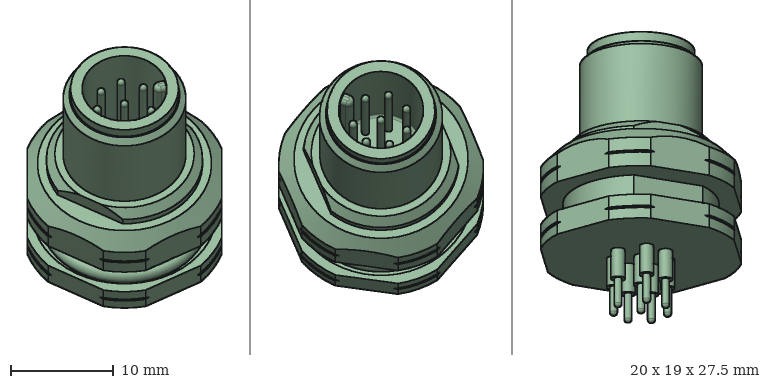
import cadquery as cq
import math


across_flats = 19.0
corner_radius = 20.0 / 2
flange_height = 2.5
nut_bottom = 5.5
nut_top = 10.0
nut_chamfer = 1.5
mark_depth = 0.1
mark_half_width = 0.1
flange_mark_z = 1.2
nut_mark_z = 7.05

ring_tube = 0.75
ring_path_radius = 7.62
ring_top = 2.83
ring_z = ring_top - ring_tube
groove_radius = 9.0

body_radius = 7.62
body_across_flats = 13.36
body_top = 11.5
body_chamfer = 0.82
sleeve_radius = 6.0
sleeve_chamfer_height = 0.55
sleeve_chamfer_width = 0.6
rim_radius = 5.25
rim_height = 1.02
overall_height = 27.5
connector_top = 21.5
rim_bottom = connector_top - rim_height

cavity_radius = 4.12
cavity_floor = body_top
cavity_fillet = 0.28

key_radius = 0.6
key_angle = 45
key_path_radius = 3.55
key_top = connector_top - 0.55
key_fillet = 0.45

pin_radius = 0.38
pin_top = connector_top - 2.0
solder_sleeve_radius = 0.7
solder_sleeve_length = 3.0
pin_bottom = connector_top - overall_height
pin_circle_radius = 2.75
pin_count = 7
pin_pitch = 49
first_pin_angle = key_angle + (360 - (pin_count - 1) * pin_pitch) / 2


def cylinder(radius, bottom, top):
    return cq.Workplane("XY").workplane(offset=bottom).circle(radius).extrude(top - bottom)


def revolved(points):
    """Turn a closed (radius, Z) outline round the Z axis."""
    return cq.Workplane("XZ").polyline(points).close().revolve(360, (0, 0, 0), (0, 1, 0))


def hexagon(bottom, top, top_chamfer, mark_z):
    """Hexagon with flats facing +-Y, turned corners and a V-groove round the corners."""
    prism = (
        cq.Workplane("XY").workplane(offset=bottom)
        .polygon(6, across_flats / math.cos(math.pi / 6)).extrude(top - bottom)
    )
    side = [
        (0, bottom),
        (corner_radius, bottom),
        (corner_radius, mark_z - mark_half_width),
        (corner_radius - mark_depth, mark_z),
        (corner_radius, mark_z + mark_half_width),
    ]
    if top_chamfer > 0:
        side.append((corner_radius, top - top_chamfer))
    side += [(corner_radius - top_chamfer, top), (0, top)]
    turned = revolved(side)
    return prism.intersect(turned)


def flange():
    groove = cylinder(groove_radius, ring_z - ring_tube, flange_height)
    return hexagon(0, flange_height, 0, flange_mark_z).cut(groove)


def nut():
    return hexagon(nut_bottom, nut_top, nut_chamfer, nut_mark_z)


def sealing_ring():
    return (
        cq.Workplane("XZ").center(ring_path_radius, ring_z).circle(ring_tube)
        .revolve(360, (-ring_path_radius, 0, 0), (-ring_path_radius, 1, 0))
    )


def body():
    foot = cylinder(body_radius, 0, ring_z)
    upper = cylinder(body_radius, ring_z, body_top).faces(">Z").chamfer(body_chamfer)
    flats = (
        cq.Workplane("XY").workplane(offset=ring_z)
        .rect(2 * body_radius, body_across_flats).extrude(body_top - ring_z)
    )
    return foot.union(upper.intersect(flats))


def sleeve():
    barrel = revolved([
        (0, 0),
        (sleeve_radius, 0),
        (sleeve_radius, rim_bottom - sleeve_chamfer_height),
        (sleeve_radius - sleeve_chamfer_width, rim_bottom),
        (0, rim_bottom),
    ])
    return barrel.union(cylinder(rim_radius, 0, connector_top))


def cavity():
    return cylinder(cavity_radius, cavity_floor, connector_top).faces("<Z").edges().fillet(cavity_fillet)


def coding_key():
    """Round-nosed post that reaches from the cavity floor and runs outward into the wall."""
    nose = key_path_radius - key_radius
    tail = cavity_radius + 2 * key_radius
    post = (
        cq.Workplane("XY").workplane(offset=cavity_floor)
        .center((nose + tail) / 2, 0).slot2D(tail - nose, 2 * key_radius)
        .extrude(key_top - cavity_floor).faces(">Z").edges().fillet(key_fillet)
    )
    mid_wall_radius = (cavity_radius + rim_radius) / 2
    inside_sleeve = cylinder(mid_wall_radius, cavity_floor, connector_top)
    return post.rotate((0, 0, 0), (0, 0, 1), key_angle).intersect(inside_sleeve)


def contact():
    """Round-ended pin on the Z axis with a thicker solder sleeve below the flange."""
    dome_centres = (pin_bottom + pin_radius, pin_top - pin_radius)
    pin = cylinder(pin_radius, *dome_centres)
    for z in dome_centres:
        pin = pin.union(cq.Workplane("XY").sphere(pin_radius).translate((0, 0, z)))
    solder_sleeve = cylinder(solder_sleeve_radius, -solder_sleeve_length, flange_height / 2)
    return pin.union(solder_sleeve)


def contact_places():
    places = [(0, 0, 0)]
    for i in range(pin_count):
        angle = math.radians(first_pin_angle + i * pin_pitch)
        places.append((pin_circle_radius * math.cos(angle), pin_circle_radius * math.sin(angle), 0))
    return places


result = flange().union(body()).union(sealing_ring()).union(nut())
result = result.union(sleeve()).cut(cavity()).union(coding_key())
for place in contact_places():
    result = result.union(contact().translate(place))